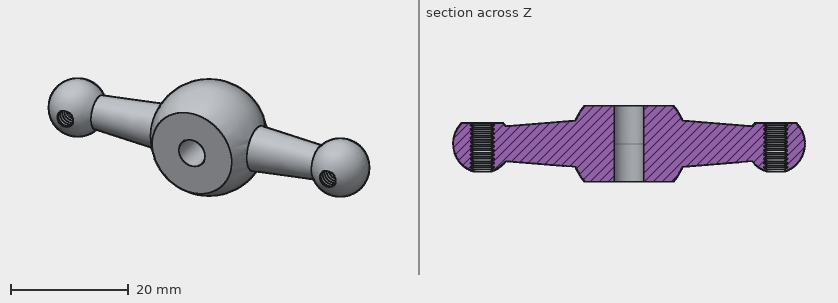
import cadquery as cq
import math

hub_diameter = 19.95
hub_width = 13.0
bore_diameter = 5.0

overall_length = 59.95
ball_diameter = 10.0
ball_flat_offset = 3.55
ball_hole_diameter = 3.0
thread_diameter = 4.0
thread_pitch = 0.7
ball_center_x = (overall_length - ball_diameter) / 2

arm_end_radius = 3.0
arm_root_radius = 3.95
hub_radius = hub_diameter / 2
ball_radius = ball_diameter / 2
arm_root_x = math.sqrt(hub_radius**2 - arm_root_radius**2)
arm_end_x = ball_center_x - math.sqrt(ball_radius**2 - arm_end_radius**2)


def make_hub():
    slab = cq.Workplane("XY").box(hub_diameter, hub_width, hub_diameter)
    return cq.Workplane("XY").sphere(hub_radius).intersect(slab)


def make_arms():
    """Revolve both tapered arms, joined through the hub, about the X axis."""
    profile = [
        (-arm_end_x, 0),
        (-arm_end_x, arm_end_radius),
        (-arm_root_x, arm_root_radius),
        (arm_root_x, arm_root_radius),
        (arm_end_x, arm_end_radius),
        (arm_end_x, 0),
    ]
    return cq.Workplane("XY").polyline(profile).close().revolve(360, (0, 0, 0), (1, 0, 0))


def make_ball(center_x):
    ball = cq.Workplane("XY").sphere(ball_radius).translate((center_x, 0, 0))
    beyond_flat = (
        cq.Workplane("XY")
        .box(ball_diameter, ball_diameter, ball_diameter)
        .translate((center_x, ball_flat_offset + ball_radius, 0))
    )
    return ball.cut(beyond_flat)


def make_threaded_hole(center_x):
    """Through-hole along Y whose thread is a row of V-shaped ring grooves."""
    core_radius = ball_hole_diameter / 2
    thread_radius = thread_diameter / 2
    mouth_depth = math.sqrt(ball_radius**2 - core_radius**2)
    groove_count = math.floor((mouth_depth + ball_flat_offset) / thread_pitch)
    groove_start = ball_flat_offset - groove_count * thread_pitch
    profile = [(0, -ball_radius), (core_radius, -ball_radius)]
    for index in range(groove_count):
        groove_y = groove_start + index * thread_pitch
        profile.append((core_radius, groove_y))
        profile.append((thread_radius, groove_y + thread_pitch / 2))
    profile += [(core_radius, ball_flat_offset), (core_radius, ball_radius), (0, ball_radius)]
    hole = cq.Workplane("XY").polyline(profile).close().revolve(360, (0, 0, 0), (0, 1, 0))
    return hole.translate((center_x, 0, 0))


result = make_hub().union(make_arms())
for center_x in (-ball_center_x, ball_center_x):
    result = result.union(make_ball(center_x))
    result = result.cut(make_threaded_hole(center_x))
bore = cq.Workplane("XZ").circle(bore_diameter / 2).extrude(hub_width / 2, both=True)
result = result.cut(bore)